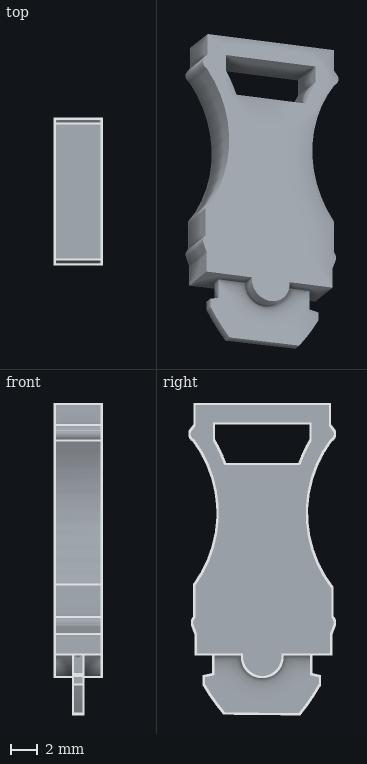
import cadquery as cq
import math


thickness = 3.5
body_height = 18.65
total_height = 23.1
tongue_depth = total_height - body_height

head_half_width = 5.05
head_side_bottom = 17.07
ridge_half_width = 5.425
ridge_peak_z = 16.38
ridge_corner_half_width = 5.36
ridge_corner_z = 16.66
ridge_end_half_width = 5.12
ridge_end_z = 15.93

waist_half_width = 3.33
waist_z = 10.62
waist_radius = 9.35

block_offset = 0.09
block_half_width = 5.15
block_foot_half_width = 5.05
bead_half_width = 5.325
bead_root_z = 2.8
bead_peak_z = 2.4
bead_low_half_width = 5.31
bead_low_z = 2.22
bead_end_z = 1.52

window_half_width = 3.57
window_top = 17.18
window_bottom = 14.18
window_wall = 1.2

boss_radius = 1.51
boss_bottom = -1.67

tongue_thickness = 0.8
neck_half_width = 3.655
neck_top = 1.0
neck_bottom = -1.45
latch_center_y = -0.03
latch_half_width = 4.325
latch_shoulder_z = -1.6
latch_side_bottom = -2.23
latch_tip_half_width = 2.8
latch_bulge = 0.07
latch_tip_rise = 0.06


def extrude_profile(outline, width):
    """Extrude a closed YZ outline by the given width, centred on X = 0."""
    return outline.close().extrude(width / 2, both=True)


def arc_half_height(radius, y):
    """Half height, at distance y from the middle, of an arc centred with the waist."""
    center_y = waist_half_width + waist_radius
    return math.sqrt(radius**2 - (center_y - y) ** 2)


def make_body():
    plus_block = block_offset + block_half_width
    minus_block = block_half_width - block_offset
    plus_corner_z = waist_z - arc_half_height(waist_radius, plus_block)
    minus_corner_z = waist_z - arc_half_height(waist_radius, minus_block)
    profile = (
        cq.Workplane("YZ")
        .moveTo(-head_half_width, body_height)
        .lineTo(head_half_width, body_height)
        .lineTo(head_half_width, head_side_bottom)
        .lineTo(ridge_corner_half_width, ridge_corner_z)
        .threePointArc((ridge_half_width, ridge_peak_z), (ridge_end_half_width, ridge_end_z))
        .threePointArc((waist_half_width, waist_z), (plus_block, plus_corner_z))
        .lineTo(plus_block, bead_root_z)
        .threePointArc(
            (block_offset + bead_half_width, bead_peak_z),
            (block_offset + bead_low_half_width, bead_low_z),
        )
        .lineTo(block_offset + block_foot_half_width, bead_end_z)
        .lineTo(block_offset + block_foot_half_width, 0)
        .lineTo(block_offset - block_foot_half_width, 0)
        .lineTo(block_offset - block_foot_half_width, bead_end_z)
        .lineTo(block_offset - bead_low_half_width, bead_low_z)
        .threePointArc((block_offset - bead_half_width, bead_peak_z), (-minus_block, bead_root_z))
        .lineTo(-minus_block, minus_corner_z)
        .threePointArc((-waist_half_width, waist_z), (-ridge_end_half_width, ridge_end_z))
        .threePointArc((-ridge_half_width, ridge_peak_z), (-ridge_corner_half_width, ridge_corner_z))
        .lineTo(-head_half_width, head_side_bottom)
    )
    return extrude_profile(profile, thickness)


def make_window():
    radius = waist_radius + window_wall
    center_y = waist_half_width + waist_radius

    def side_y(z):
        return center_y - math.sqrt(radius**2 - (z - waist_z) ** 2)

    side_end_z = waist_z + arc_half_height(radius, window_half_width)
    middle_z = (side_end_z + window_bottom) / 2
    bottom_half_width = side_y(window_bottom)
    profile = (
        cq.Workplane("YZ")
        .moveTo(-window_half_width, window_top)
        .lineTo(window_half_width, window_top)
        .lineTo(window_half_width, side_end_z)
        .threePointArc((side_y(middle_z), middle_z), (bottom_half_width, window_bottom))
        .lineTo(-bottom_half_width, window_bottom)
        .threePointArc((-side_y(middle_z), middle_z), (-window_half_width, side_end_z))
    )
    return extrude_profile(profile, thickness)


def make_boss():
    boss_center_z = boss_bottom + boss_radius
    circle = cq.Workplane("YZ").center(0, boss_center_z).circle(boss_radius)
    return circle.extrude(thickness / 2, both=True)


def make_tongue():
    plus_side = latch_center_y + latch_half_width
    minus_side = latch_center_y - latch_half_width
    plus_tip = (latch_center_y + latch_tip_half_width, -tongue_depth)
    minus_tip = (latch_center_y - latch_tip_half_width, -tongue_depth + latch_tip_rise)
    plus_bow = ((plus_side + plus_tip[0]) / 2 + latch_bulge, (latch_side_bottom + plus_tip[1]) / 2)
    minus_bow = ((minus_side + minus_tip[0]) / 2 - latch_bulge, (latch_side_bottom + minus_tip[1]) / 2)
    profile = (
        cq.Workplane("YZ")
        .moveTo(-neck_half_width, neck_top)
        .lineTo(neck_half_width, neck_top)
        .lineTo(neck_half_width, neck_bottom)
        .lineTo(plus_side, latch_shoulder_z)
        .lineTo(plus_side, latch_side_bottom)
        .threePointArc(plus_bow, plus_tip)
        .lineTo(*minus_tip)
        .threePointArc(minus_bow, (minus_side, latch_side_bottom))
        .lineTo(minus_side, latch_shoulder_z)
        .lineTo(-neck_half_width, neck_bottom)
    )
    return extrude_profile(profile, tongue_thickness)


result = make_body().cut(make_window()).union(make_boss()).union(make_tongue())